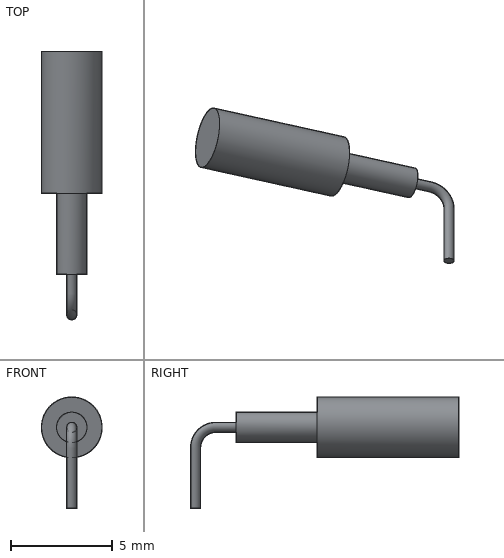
import cadquery as cq

BODY_DIAMETER = 3.0
BODY_LENGTH = 7.0
NECK_DIAMETER = 1.5
NECK_LENGTH = 4.0
PIN_DIAMETER = 0.5
PIN_STRAIGHT_LENGTH = 1.0
PIN_BEND_RADIUS = 1.0
PIN_LEG_LENGTH = 3.0

SHOULDER_Y = 0.0
NECK_END_Y = SHOULDER_Y - NECK_LENGTH
BEND_START_Y = NECK_END_Y - PIN_STRAIGHT_LENGTH


def cylinder_along_y(diameter, start_y, length):
    """Cylinder on the body axis, growing from start_y towards +Y."""
    start = cq.Vector(0, start_y, 0)
    return cq.Workplane(cq.Solid.makeCylinder(diameter / 2, length, start, cq.Vector(0, 1, 0)))


def pin_bend():
    """Quarter turn of the pin, from the body axis down to -Z."""
    section = cq.Workplane("XZ", origin=(0, BEND_START_Y, 0)).circle(PIN_DIAMETER / 2)
    return section.revolve(90, (0, -PIN_BEND_RADIUS, 0), (1, -PIN_BEND_RADIUS, 0))


def pin_leg():
    """Straight end of the pin, running down from the bend."""
    leg_top = (0, BEND_START_Y - PIN_BEND_RADIUS, -PIN_BEND_RADIUS)
    return cq.Workplane("XY", origin=leg_top).circle(PIN_DIAMETER / 2).extrude(-PIN_LEG_LENGTH)


body = cylinder_along_y(BODY_DIAMETER, SHOULDER_Y, BODY_LENGTH)
neck = cylinder_along_y(NECK_DIAMETER, NECK_END_Y, NECK_LENGTH)
pin_straight = cylinder_along_y(PIN_DIAMETER, BEND_START_Y, PIN_STRAIGHT_LENGTH)

result = body.union(neck).union(pin_straight).union(pin_bend()).union(pin_leg())